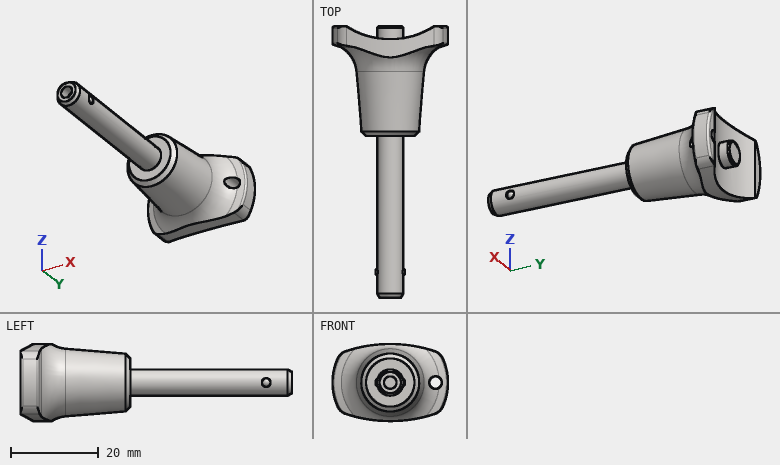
import cadquery as cq
import math


overall_length = 61.8
handle_length = 25.0
handle_width = 26.33
handle_thickness = 17.6
shank_length = overall_length - handle_length

shoulder_radius = 5.5
shoulder_chamfer = 1.1
taper_length = 14.7
taper_end_radius = 7.72
flare_end_radius = 11.15
flare_end_height = 20.18
rim_radius = handle_width / 2
rim_underside_height = 20.83
rim_round = 0.55

side_radius = 32.0
corner_radius = 3.4
scoop_half_width = 10.0
scoop_depth = 2.95
lanyard_hole_diameter = 2.8
lanyard_hole_offset = 10.3

button_diameter = 6.0
button_chamfer = 0.4

shank_diameter = 6.0
tip_chamfer_length = 1.0
tip_chamfer_angle = 30.0
tip_bore_diameter = 2.85
tip_bore_depth = 3.0
ball_diameter = 1.96
ball_hole_diameter = 2.0
ball_reach = 3.4
ball_distance = 30.9


def cylinder_along_y(diameter, start, length):
    """Cylinder on the Y axis that runs from y = start toward +Y."""
    return cq.Workplane("XZ", origin=(0, start, 0)).circle(diameter / 2).extrude(-length)


def make_turned_handle():
    """Tapered grip that flares out into a round rim."""
    taper_start_radius = shoulder_radius + shoulder_chamfer
    profile = (
        cq.Workplane("ZY")
        .lineTo(shoulder_radius, 0)
        .lineTo(taper_start_radius, shoulder_chamfer)
        .lineTo(taper_end_radius, taper_length)
        .tangentArcPoint((flare_end_radius, flare_end_height), relative=False)
        .lineTo(rim_radius, rim_underside_height)
        .lineTo(rim_radius, handle_length)
        .lineTo(0, handle_length)
        .close()
    )
    turned = profile.revolve(360, (0, 0, 0), (0, 1, 0))
    rim_edges = cq.selectors.BoxSelector(
        (-2 * rim_radius, rim_underside_height - rim_round, -2 * rim_radius),
        (2 * rim_radius, handle_length + rim_round, 2 * rim_radius),
        boundingbox=True,
    )
    return turned.edges(rim_edges).edges("%CIRCLE").fillet(rim_round)


def make_plan_prism():
    """Prism with the plan shape: round ends, shallow curved sides, rounded corners."""
    half_thickness = handle_thickness / 2
    side_sagitta = side_radius - math.sqrt(side_radius**2 - rim_radius**2)
    side_end = half_thickness - side_sagitta
    sides = (
        cq.Workplane("XZ")
        .moveTo(-rim_radius, side_end)
        .threePointArc((0, half_thickness), (rim_radius, side_end))
        .lineTo(rim_radius, -side_end)
        .threePointArc((0, -half_thickness), (-rim_radius, -side_end))
        .close()
        .extrude(-handle_length)
    )
    prism = sides.intersect(cylinder_along_y(2 * rim_radius, 0, handle_length))
    return prism.edges("|Y").fillet(corner_radius)


def make_scoop():
    """Cylinder along Z that hollows the top of the handle between the ears."""
    scoop_radius = (scoop_half_width**2 + scoop_depth**2) / (2 * scoop_depth)
    centre_height = handle_length - scoop_depth + scoop_radius
    return (
        cq.Workplane("XY")
        .center(0, centre_height)
        .circle(scoop_radius)
        .extrude(handle_thickness, both=True)
    )


def make_handle():
    lanyard_hole = cylinder_along_y(lanyard_hole_diameter, 0, handle_length)
    return (
        make_turned_handle()
        .intersect(make_plan_prism())
        .cut(make_scoop())
        .cut(lanyard_hole.translate((lanyard_hole_offset, 0, 0)))
    )


def make_button():
    """Push button that stands in the scoop, level with the ears."""
    root = handle_length / 2
    button = cylinder_along_y(button_diameter, root, handle_length - root)
    return button.faces(">Y").chamfer(button_chamfer)


def make_shank():
    """Shank with a chamfered tip, a blind tip bore and two locking balls."""
    shank = cylinder_along_y(shank_diameter, -shank_length, shank_length)
    tip_chamfer_width = tip_chamfer_length * math.tan(math.radians(tip_chamfer_angle))
    shank = shank.faces("<Y").edges().chamfer(tip_chamfer_length, tip_chamfer_width)
    shank = shank.cut(cylinder_along_y(tip_bore_diameter, -shank_length, tip_bore_depth))

    ball_centre = ball_reach - ball_diameter / 2
    for direction in (-1, 1):
        place = (direction * ball_centre, -ball_distance, 0)
        ball_hole = (
            cq.Workplane("YZ", origin=place)
            .circle(ball_hole_diameter / 2)
            .extrude(direction * shank_diameter)
        )
        ball = cq.Workplane("XY").sphere(ball_diameter / 2).translate(place)
        shank = shank.cut(ball_hole).union(ball)
    return shank


result = make_handle().union(make_button()).union(make_shank())